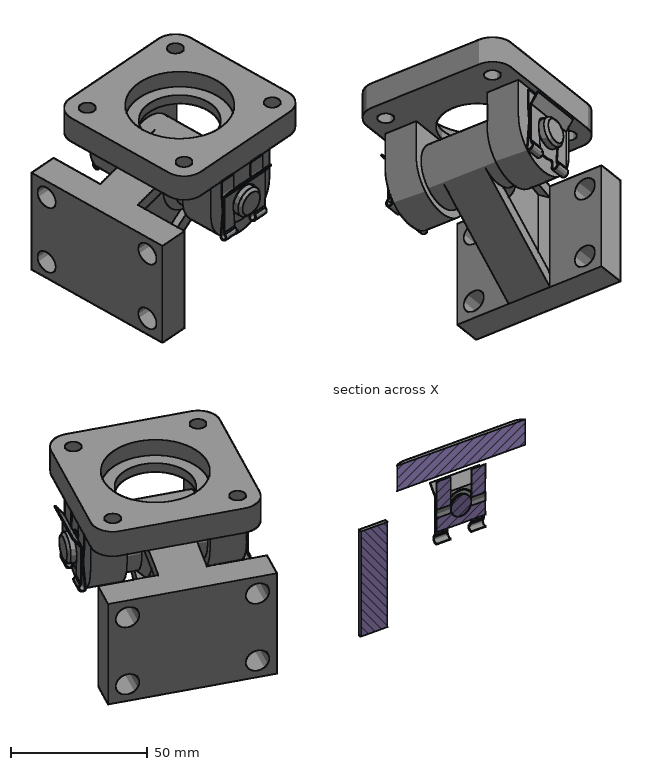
import cadquery as cq
import math


pin_length = 71.0
pin_radius = 6.0
pin_chamfer = 1.2
lug_radius = 16.0
lug_inner_x = 16.0
lug_outer_x = 30.0
barrel_radius = 12.95

flange_side = 64.95
flange_thickness = 11.0
flange_corner_radius = 8.4
flange_hole_spacing = 48.0
flange_hole_diameter = 6.2
bore_diameter = 30.0
recess_diameter = 40.0
recess_depth = 7.0
flange_bottom_z = lug_radius

overall_depth = 77.5
plate_thickness = 12.0
plate_height = 45.0
plate_top_z = 4.5
plate_bottom_z = plate_top_z - plate_height
plate_front_y = flange_side / 2 - overall_depth
plate_rear_y = plate_front_y + plate_thickness
plate_hole_diameter = 9.0
plate_hole_spacing_x = 50.0
plate_hole_spacing_z = 30.0
web_width = 18.6
rib_thickness = 5.0
pocket_depth = 3.0

sheet = 0.5
clip_width = 22.0
fork_top_z = 13.95
fork_face_x = 31.1
fork_bow_x = 31.6
fork_bow_top_z = 8.0
fork_corner_radius = 0.6
notch_corner_radius = 1.0
fork_arc_radius = 9.8
groove_radius = 4.65
groove_start_x = 30.4
groove_end_x = 31.8
heel_x = 30.15
heel_radius = 1.2
roll_radius = 1.85
roll_x = heel_x + heel_radius
roll_bottom_z = -13.0
roll_start_angle = 49.0
panel_face_x = 32.25
panel_inner_x = panel_face_x - sheet
panel_bottom_z = -9.0
lip_base_z = 7.05
lip_top_z = 11.3
lip_tip_x = 35.4
lip_angle = math.atan2(lip_tip_x - panel_face_x, lip_top_z - lip_base_z)
panel_hole_radius = 6.3
panel_slot_top_half_width = 6.2
panel_slot_bottom_half_width = 5.2
panel_slot_bottom_z = roll_bottom_z + roll_radius


def x_cylinder(radius, start_x, end_x):
    """Cylinder along the hinge axis."""
    return cq.Workplane("YZ").workplane(offset=start_x).circle(radius).extrude(end_x - start_x)


def x_prism(points, start_x, end_x):
    """Polygon of (y, z) points extruded along X."""
    return cq.Workplane("YZ").workplane(offset=start_x).polyline(points).close().extrude(end_x - start_x)


def make_lug(start_x):
    lug = x_cylinder(lug_radius, start_x, start_x + lug_outer_x - lug_inner_x)
    shank = [
        (-lug_radius, 0),
        (lug_radius, 0),
        (lug_radius, flange_bottom_z),
        (-lug_radius, flange_bottom_z),
    ]
    return lug.union(x_prism(shank, start_x, start_x + lug_outer_x - lug_inner_x))


def make_clevis():
    flange = (
        cq.Workplane("XY", origin=(0, 0, flange_bottom_z))
        .rect(flange_side, flange_side)
        .extrude(flange_thickness)
        .edges("|Z")
        .fillet(flange_corner_radius)
        .faces(">Z")
        .workplane()
        .cboreHole(bore_diameter, recess_diameter, recess_depth)
        .faces(">Z")
        .workplane()
        .rect(flange_hole_spacing, flange_hole_spacing, forConstruction=True)
        .vertices()
        .hole(flange_hole_diameter)
    )
    for start_x in (-lug_outer_x, lug_inner_x):
        flange = flange.union(make_lug(start_x))
    return flange.cut(x_cylinder(pin_radius, -lug_outer_x, lug_outer_x))


def tangent_angle(corner_z, side):
    """Angle from +Y of the barrel radius that meets the web edge running to the plate corner."""
    corner_distance = math.hypot(plate_rear_y, corner_z)
    corner_angle = math.atan2(corner_z, plate_rear_y)
    return corner_angle + side * math.acos(barrel_radius / corner_distance)


def point_on_edge(angle, distance, y):
    """Point at the given Y on the line square to a barrel radius, at a distance from the hinge axis."""
    return (y, (distance - y * math.cos(angle)) / math.sin(angle))


def point_on_barrel(angle):
    return (barrel_radius * math.cos(angle), barrel_radius * math.sin(angle))


def make_web_pocket(upper_angle, lower_angle):
    """Recess in the -X side of the web, sloping at 45 degrees up to the barrel and to the plate."""
    outer_x = -web_width / 2
    floor_x = outer_x + pocket_depth
    inner_distance = barrel_radius - rib_thickness
    pocket = x_prism(
        [
            point_on_edge(upper_angle, inner_distance, 0),
            point_on_edge(upper_angle, inner_distance, plate_rear_y),
            point_on_edge(lower_angle, inner_distance, plate_rear_y),
            point_on_edge(lower_angle, inner_distance, 0),
        ],
        outer_x,
        floor_x,
    )
    barrel_slope = cq.Workplane(
        cq.Solid.makeCone(
            barrel_radius,
            barrel_radius + pocket_depth,
            pocket_depth,
            cq.Vector(outer_x, 0, 0),
            cq.Vector(1, 0, 0),
        )
    )
    plate_slope = (
        cq.Workplane("XY", origin=(0, 0, plate_bottom_z))
        .moveTo(outer_x, plate_rear_y)
        .lineTo(floor_x, plate_rear_y)
        .lineTo(floor_x, plate_rear_y + pocket_depth)
        .close()
        .extrude(plate_height)
    )
    return pocket.cut(barrel_slope).cut(plate_slope)


def make_web():
    upper_angle = tangent_angle(plate_top_z, -1)
    lower_angle = tangent_angle(plate_bottom_z, 1)
    web = x_prism(
        [
            (0, 0),
            point_on_barrel(upper_angle),
            (plate_rear_y, plate_top_z),
            (plate_rear_y, plate_bottom_z),
            point_on_barrel(lower_angle),
        ],
        -web_width / 2,
        web_width / 2,
    )
    pocket = make_web_pocket(upper_angle, lower_angle)
    return web.cut(pocket).cut(pocket.mirror("YZ"))


def make_bracket():
    plate = (
        cq.Workplane("XZ", origin=(0, plate_rear_y, (plate_top_z + plate_bottom_z) / 2))
        .rect(flange_side, plate_height)
        .extrude(plate_thickness)
        .faces("<Y")
        .workplane(centerOption="CenterOfBoundBox")
        .rect(plate_hole_spacing_x, plate_hole_spacing_z, forConstruction=True)
        .vertices()
        .hole(plate_hole_diameter)
    )
    barrel = x_cylinder(barrel_radius, -lug_inner_x, lug_inner_x)
    bracket = plate.union(make_web()).union(barrel)
    return bracket.cut(x_cylinder(pin_radius, -lug_inner_x, lug_inner_x))


def make_pin():
    pin = x_cylinder(pin_radius, -pin_length / 2, pin_length / 2)
    pin = pin.faces("<X or >X").edges().chamfer(pin_chamfer)
    groove = x_cylinder(pin_radius, groove_start_x, groove_end_x)
    groove = groove.cut(x_cylinder(groove_radius, groove_start_x, groove_end_x))
    return pin.cut(groove).cut(groove.mirror("YZ"))


def polar(center, radius, angle):
    """Point on a circle in the XZ plane, with the angle in degrees from +X."""
    return (
        center[0] + radius * math.cos(math.radians(angle)),
        center[1] + radius * math.sin(math.radians(angle)),
    )


def make_bent_sheet():
    """Full-width sheet: fork leaf against the lug, roll at the bottom, panel and flared lip outside."""
    roll = (roll_x, roll_bottom_z + roll_radius)
    heel = (roll_x, roll_bottom_z + heel_radius)
    inner_roll = roll_radius - sheet
    inner_heel = heel_radius - sheet
    middle_angle = roll_start_angle / 2 - 45
    return (
        cq.Workplane("XZ", origin=(0, clip_width / 2, 0))
        .moveTo(lip_tip_x, lip_top_z)
        .lineTo(panel_face_x, lip_base_z)
        .lineTo(panel_face_x, panel_bottom_z)
        .lineTo(*polar(roll, roll_radius, roll_start_angle))
        .threePointArc(polar(roll, roll_radius, middle_angle), polar(roll, roll_radius, -90))
        .threePointArc(polar(heel, heel_radius, -135), polar(heel, heel_radius, 180))
        .lineTo(fork_bow_x - sheet, 0)
        .lineTo(fork_face_x - sheet, fork_bow_top_z)
        .lineTo(fork_face_x - sheet, fork_top_z)
        .lineTo(fork_face_x, fork_top_z)
        .lineTo(fork_face_x, fork_bow_top_z)
        .lineTo(fork_bow_x, 0)
        .lineTo(*polar(heel, inner_heel, 180))
        .threePointArc(polar(heel, inner_heel, -135), polar(heel, inner_heel, -90))
        .threePointArc(polar(roll, inner_roll, middle_angle), polar(roll, inner_roll, roll_start_angle))
        .lineTo(panel_inner_x, panel_bottom_z)
        .lineTo(panel_inner_x, lip_base_z + sheet * math.tan(lip_angle / 2))
        .lineTo(lip_tip_x - sheet * math.cos(lip_angle), lip_top_z + sheet * math.sin(lip_angle))
        .close()
        .extrude(clip_width)
    )


def make_fork_slot():
    """Slot, open at the top, that seats the fork leaf in the pin groove."""
    slot = x_cylinder(groove_radius, heel_x, panel_inner_x)
    sides = [
        (-groove_radius, 0),
        (groove_radius, 0),
        (groove_radius, fork_top_z),
        (-groove_radius, fork_top_z),
    ]
    return slot.union(x_prism(sides, heel_x, panel_inner_x))


def make_bottom_notch():
    """Gap between the two bends; its top follows an arc around the pin."""
    notch = x_prism(
        [
            (-groove_radius, -groove_radius),
            (groove_radius, -groove_radius),
            (groove_radius, roll_bottom_z),
            (-groove_radius, roll_bottom_z),
        ],
        heel_x,
        lip_tip_x,
    )
    notch = notch.cut(x_cylinder(fork_arc_radius, heel_x, lip_tip_x))
    return notch.edges("|X and >Z").fillet(notch_corner_radius)


def make_panel_slot():
    """Hole around the pin end, running out downwards as a tapering slot."""
    slot = x_cylinder(panel_hole_radius, panel_inner_x, lip_tip_x)
    taper = [
        (-panel_slot_top_half_width, 0),
        (panel_slot_top_half_width, 0),
        (panel_slot_bottom_half_width, panel_slot_bottom_z),
        (-panel_slot_bottom_half_width, panel_slot_bottom_z),
    ]
    return slot.union(x_prism(taper, panel_inner_x, lip_tip_x))


def make_clip():
    """Clip at the +X end of the pin."""
    clip = make_bent_sheet().cut(make_fork_slot())
    fork_tip_corners = cq.selectors.BoxSelector(
        (heel_x, -groove_radius - sheet, fork_top_z - sheet),
        (panel_inner_x, groove_radius + sheet, fork_top_z + sheet),
    )
    clip = clip.edges("|X").edges(fork_tip_corners).fillet(fork_corner_radius)
    return clip.cut(make_bottom_notch()).cut(make_panel_slot())


clevis = make_clevis()
bracket = make_bracket()
pin = make_pin()
right_clip = make_clip()
clips = [right_clip, right_clip.mirror("YZ")]

result = cq.Compound.makeCompound(
    [clevis.val(), bracket.val(), pin.val(), *[clip.val() for clip in clips]]
)